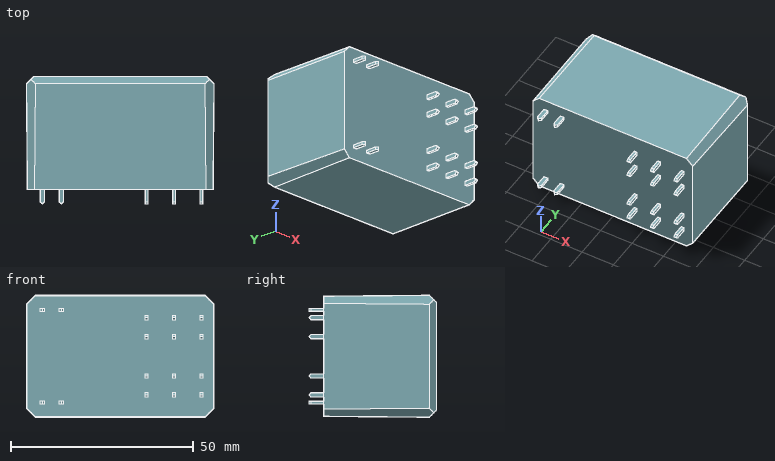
import cadquery as cq

front_width = 51.0
front_height = 33.0
housing_depth = 31.0
side_flare = 0.25
back_chamfer = 2.0
corner_cut = 2.0

flared_depth = housing_depth - back_chamfer
wide_width = front_width + 2 * side_flare
wide_height = front_height + 2 * side_flare

pin_length = 4.0
pin_width = 1.2
pin_thickness = 0.8
pin_tip_length = 0.6
pin_root = 0.5

pin_pair_pitch = 5.2
coil_outer_x = -21.35
coil_columns = [coil_outer_x, coil_outer_x + pin_pair_pitch]
coil_row = 12.7

contact_first_x = 7.25
contact_pitch = 7.5
contact_column_count = 3
contact_columns = [contact_first_x + i * contact_pitch for i in range(contact_column_count)]
contact_inner_row = 5.4
contact_rows = [contact_inner_row, contact_inner_row + pin_pair_pitch]


def frustum(y_start, start_size, y_end, end_size):
    """Solid between two centred rectangles lying at two Y positions."""
    return (
        cq.Workplane("XZ", origin=(0, y_start, 0))
        .rect(*start_size)
        .workplane(offset=y_start - y_end)
        .rect(*end_size)
        .loft(ruled=True)
    )


def make_housing():
    """Flared box with a chamfered back and four straight corner cuts."""
    front_size = (front_width, front_height)
    wide_size = (wide_width, wide_height)
    back_size = (wide_width - 2 * back_chamfer, wide_height - 2 * back_chamfer)
    flared_part = frustum(0, front_size, flared_depth, wide_size)
    back_part = frustum(flared_depth, wide_size, housing_depth, back_size)

    corner_leg = corner_cut + 2 * side_flare
    corner_prism = (
        cq.Workplane("XY")
        .box(wide_width, housing_depth, wide_height)
        .edges("|Y")
        .chamfer(corner_leg)
        .translate((0, housing_depth / 2, 0))
    )
    return flared_part.union(back_part).intersect(corner_prism)


def make_pin():
    """Pointed blade centred on the Y axis, wide along X and thin along Z."""
    half_width = pin_width / 2
    shoulder_y = pin_tip_length - pin_length
    return (
        cq.Workplane("XY")
        .moveTo(-half_width, pin_root)
        .lineTo(-half_width, shoulder_y)
        .lineTo(0, -pin_length)
        .lineTo(half_width, shoulder_y)
        .lineTo(half_width, pin_root)
        .close()
        .extrude(pin_thickness / 2, both=True)
    )


coil_pin = make_pin()
contact_pin = coil_pin.rotate((0, 0, 0), (0, 1, 0), 90)

result = make_housing()
for side in (-1, 1):
    for x in coil_columns:
        result = result.union(coil_pin.translate((x, 0, side * coil_row)))
    for x in contact_columns:
        for row in contact_rows:
            result = result.union(contact_pin.translate((x, 0, side * row)))